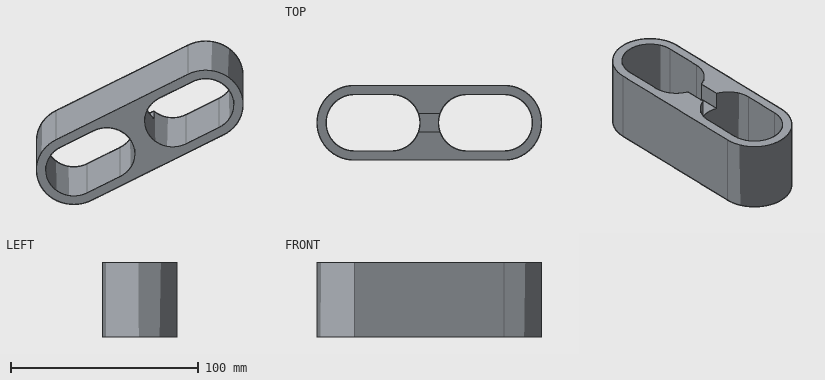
import cadquery as cq

length = 120.0
width = 40.0
height = 40.0
wall = 5.0
web = 10.0
notch_width = 10.0
notch_depth = 10.0

pocket_length = (length - 2 * wall - web) / 2
pocket_width = width - 2 * wall
pocket_offset = (web + pocket_length) / 2


def make_body():
    """Solid block with fully rounded ends, standing on Z = 0."""
    return cq.Workplane("XY").slot2D(length, width).extrude(height)


def make_pockets():
    """Two rounded openings that run through the full height."""
    centers = [(-pocket_offset, 0), (pocket_offset, 0)]
    return (
        cq.Workplane("XY")
        .pushPoints(centers)
        .slot2D(pocket_length, pocket_width)
        .extrude(height)
    )


def make_notch():
    """Square-cornered channel in the top of the bridge, joining the pockets."""
    return (
        cq.Workplane("XY")
        .workplane(offset=height - notch_depth)
        .rect(2 * pocket_offset, notch_width)
        .extrude(notch_depth)
    )


result = make_body().cut(make_pockets()).cut(make_notch())